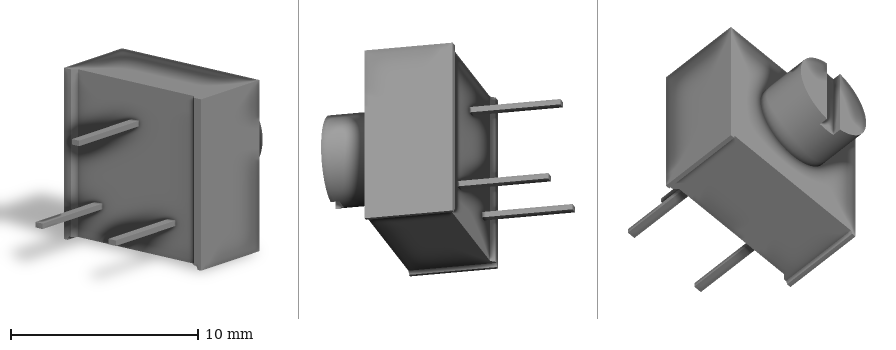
import cadquery as cq
import math

body_side = 9.52
body_depth = 4.86

rail_width = 0.5
recess_depth = 0.25
recess_slope = 0.25

foot_width = 0.25
relief_height = 0.2
relief_radius = 0.25

shaft_diameter = 5.0
shaft_length = 3.0
shaft_rise = 0.35
slot_width = 1.01
slot_depth = 0.5

pin_width = 0.5
pin_thickness = 0.3
pin_reach = 4.76
pin_pitch = 2.54
pin_places = [(-pin_pitch, -pin_pitch), (0, pin_pitch), (pin_pitch, -pin_pitch)]

half_side = body_side / 2


def make_housing():
    """Block extruded along Y from its front outline, with the underside relief in it."""
    foot_edge = half_side - foot_width
    arc_centre = foot_edge - relief_radius
    roof_edge = arc_centre + math.sqrt(relief_radius**2 - relief_height**2)
    arc_angle = math.asin(relief_height / relief_radius) / 2
    arc_mid_x = arc_centre + relief_radius * math.cos(arc_angle)
    arc_mid_z = -half_side + relief_radius * math.sin(arc_angle)
    roof = -half_side + relief_height
    outline = (
        cq.Workplane("XZ", origin=(0, body_depth, 0))
        .moveTo(-half_side, half_side)
        .lineTo(-half_side, -half_side)
        .lineTo(-foot_edge, -half_side)
        .threePointArc((-arc_mid_x, arc_mid_z), (-roof_edge, roof))
        .lineTo(roof_edge, roof)
        .threePointArc((arc_mid_x, arc_mid_z), (foot_edge, -half_side))
        .lineTo(half_side, -half_side)
        .lineTo(half_side, half_side)
        .close()
    )
    return outline.extrude(body_depth)


def make_recess():
    """Trapezoidal channel along the full height of the mounting face."""
    recess_half_width = half_side - rail_width
    floor_half_width = recess_half_width - recess_slope
    profile = [
        (-recess_half_width, 0),
        (-floor_half_width, recess_depth),
        (floor_half_width, recess_depth),
        (recess_half_width, 0),
    ]
    return cq.Workplane("XY").polyline(profile).close().extrude(half_side, both=True)


def make_shaft():
    """Round shaft with a slot across its end."""
    shaft = (
        cq.Workplane("XZ", origin=(0, body_depth, shaft_rise))
        .circle(shaft_diameter / 2)
        .extrude(-shaft_length)
    )
    slot = cq.Workplane("XY").box(slot_width, slot_depth, shaft_diameter, centered=(True, False, True))
    return shaft.cut(slot.translate((0, body_depth + shaft_length - slot_depth, shaft_rise)))


def make_pins():
    """Three rectangular pins rising from the recess floor."""
    return (
        cq.Workplane("XZ", origin=(0, recess_depth, 0))
        .pushPoints(pin_places)
        .rect(pin_width, pin_thickness)
        .extrude(recess_depth + pin_reach)
    )


result = make_housing().cut(make_recess()).union(make_shaft()).union(make_pins())